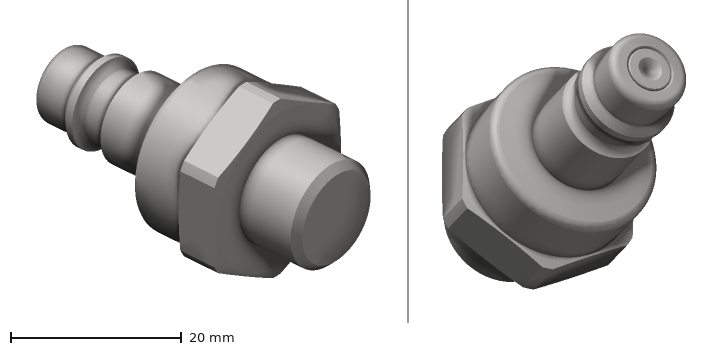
import cadquery as cq
import math

tip_fillet = 1.0
bead_start_x = 5.0
bead_rise_length = 1.05
bead_land_length = 1.0
groove_start_x = 8.05
groove_end_x = 10.4
groove_flank_sagitta = 0.17
shank_start_x = 11.45
collar_start_x = 19.95
collar_face_length = 0.65
collar_fillet = 1.0
hex_start_x = 28.0
hex_end_x = 34.0
overall_length = 43.0
thread_chamfer = 1.0

tip_diameter = 10.0
groove_diameter = 9.75
shank_diameter = 12.0
collar_diameter = 21.5
thread_diameter = 14.0

across_flats = 22.0
corner_diameter = 24.7
hex_chamfer_length = 0.35
hex_face_diameter = collar_diameter

bore_diameter = 5.6
bore_chamfer = 0.2
pin_diameter = 5.45
pin_chamfer = 0.15
pin_gap_depth = 1.0
dimple_diameter = 3.0
dimple_angle = 118.0


def revolve_about_x(points):
    """Revolve a closed (x, radius) outline about the X axis."""
    return cq.Workplane("XY").polyline(points).close().revolve(360, (0, 0, 0), (1, 0, 0))


def cylinder_along_x(diameter, start, end):
    return cq.Workplane("YZ").workplane(offset=start).circle(diameter / 2).extrude(end - start)


def make_plug():
    """Plug tip with its locking bead and groove, up to the collar."""
    bead_end_x = bead_start_x + bead_rise_length + bead_land_length
    bead_radius = shank_diameter / 2
    groove_radius = groove_diameter / 2
    profile = (
        cq.Workplane("XY")
        .lineTo(0, tip_diameter / 2)
        .lineTo(bead_start_x, tip_diameter / 2)
        .lineTo(bead_start_x + bead_rise_length, bead_radius)
        .lineTo(bead_end_x, bead_radius)
        .sagittaArc((groove_start_x, groove_radius), -groove_flank_sagitta)
        .lineTo(groove_end_x, groove_radius)
        .sagittaArc((shank_start_x, bead_radius), -groove_flank_sagitta)
        .lineTo(hex_start_x, bead_radius)
        .lineTo(hex_start_x, 0)
        .close()
    )
    plug = profile.revolve(360, (0, 0, 0), (1, 0, 0))
    return plug.faces("<X").edges().fillet(tip_fillet)


def make_collar():
    """Round collar with a shallow conical front face and a rounded rim."""
    rim_x = collar_start_x + collar_face_length
    outline = [
        (collar_start_x, 0),
        (collar_start_x, shank_diameter / 2),
        (rim_x, collar_diameter / 2),
        (hex_start_x, collar_diameter / 2),
        (hex_start_x, 0),
    ]
    rim = cq.selectors.BoxSelector(
        (rim_x - collar_face_length / 2, -collar_diameter, -collar_diameter),
        (rim_x + collar_face_length / 2, collar_diameter, collar_diameter),
    )
    return revolve_about_x(outline).edges(rim).fillet(collar_fillet)


def make_hexagon():
    """Hexagon with corners up and down, trimmed by a chamfered cylinder."""
    sharp_corner_diameter = across_flats / math.cos(math.pi / 6)
    prism = (
        cq.Workplane("YZ")
        .workplane(offset=hex_start_x)
        .transformed(rotate=(0, 0, 90))
        .polygon(6, sharp_corner_diameter)
        .extrude(hex_end_x - hex_start_x)
    )
    envelope = revolve_about_x([
        (hex_start_x, 0),
        (hex_start_x, hex_face_diameter / 2),
        (hex_start_x + hex_chamfer_length, corner_diameter / 2),
        (hex_end_x - hex_chamfer_length, corner_diameter / 2),
        (hex_end_x, hex_face_diameter / 2),
        (hex_end_x, 0),
    ])
    return prism.intersect(envelope)


def make_thread_end():
    spigot = cylinder_along_x(thread_diameter, hex_end_x, overall_length)
    return spigot.faces(">X").edges().chamfer(thread_chamfer)


def make_pin_gap():
    """Narrow ring between the valve pin and its bore, with both rims chamfered."""
    bore_radius = bore_diameter / 2
    pin_radius = pin_diameter / 2
    return revolve_about_x([
        (pin_chamfer, pin_radius),
        (0, pin_radius - pin_chamfer),
        (0, bore_radius + bore_chamfer),
        (bore_chamfer, bore_radius),
        (pin_gap_depth, bore_radius),
        (pin_gap_depth, pin_radius),
    ])


def make_dimple():
    """Conical dimple in the end of the valve pin."""
    radius = dimple_diameter / 2
    depth = radius / math.tan(math.radians(dimple_angle / 2))
    return revolve_about_x([(0, 0), (0, radius), (depth, 0)])


body = make_plug().union(make_collar()).union(make_hexagon()).union(make_thread_end())
result = body.cut(make_pin_gap()).cut(make_dimple())